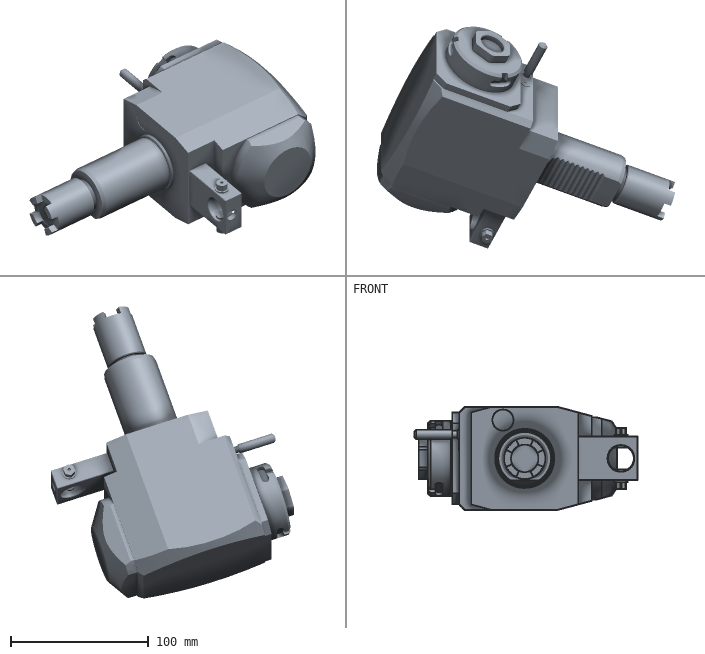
import cadquery as cq
import math


HEIGHT = 75.0
HALF_HEIGHT = HEIGHT / 2
BACK_Y = 103.0
SHOULDER_Y = 24.0
WIDE_LEFT_X = -47.5
WIDE_RIGHT_X = 48.8
NARROW_HALF_WIDTH = 38.9
RIDGE_X = 23.7
FLANK_SLOPE = math.tan(math.radians(15))
LEFT_CHAMFER = 4.2
BACK_RIGHT_CHAMFER = 3.5
CROWN_CENTER_X = -8.3
CROWN_RADIUS = 124.7
CROWN_SETBACK = 4.2
PLUG_X = -15.8
PLUG_Z = 27.9
PLUG_RADIUS = 7.7
PLUG_DEPTH = 0.2

HEX_SIDES = 6

SPINDLE_Y = 69.0

CAP_RADIUS = 37.8
CAP_FLANK_X = 51.5
CAP_RIM_X = 56.0
CAP_END_X = 67.1
CAP_END_RADIUS = 21.0
CAP_BACK_Y = 99.1

PLATE_X = -52.8
PLATE_HALF_HEIGHT = 33.5
PLATE_FRONT_Y = 36.0
PLATE_CHAMFER = 8.1
COLLAR_BACK_X = -53.8
COLLAR_FACE_X = -70.3
COLLAR_RADIUS = 27.5
COLLAR_NECK_RADIUS = 26.2
COLLAR_CHAMFER = 1.9
COLLAR_SLOT_COUNT = 3
COLLAR_SLOT_X = -62.1
COLLAR_SLOT_LENGTH = 18.7
COLLAR_SLOT_WIDTH = 5.6
COLLAR_SLOT_DEPTH = 4.5
COLLAR_NOTCH_WIDTH = 5.5
COLLAR_NOTCH_DEPTH = 3.3
HEX_FACE_X = -77.1
HEX_ACROSS_FLATS = 27.0
HEX_CORNER_RADIUS = 15.0
HEX_BORE_RADIUS = 9.1
HEX_BORE_DEPTH = 4.5
HEX_BORE_CHAMFER = 0.6

PIN_Y = 29.7
PIN_Z = 17.5
PIN_TIP_X = -80.2
PIN_DIAMETER = 6.9
PIN_RADIUS = PIN_DIAMETER / 2
PIN_CHAMFER = 1.5
PIN_NECK_X = -52.5
PIN_NECK_RADIUS = 2.5
PIN_FLARE_X = -49.0
PIN_BASE_RADIUS = 4.4
SCREW_Z = 10.2
SCREW_RADIUS = 4.4
SCREW_PROUD = 0.5
SCREW_HOLE_RADIUS = 0.8

FLANGE_DIAMETER = 43.0
FLANGE_RADIUS = FLANGE_DIAMETER / 2
FLANGE_LENGTH = 2.3
FLANGE_CHAMFER = 0.6
UNDERCUT_RADIUS = 19.5
UNDERCUT_LENGTH = 1.2
SHANK_RADIUS = 20.0
SHANK_END_Y = -63.2
SHANK_CHAMFER_LENGTH = 3.0
SHANK_END_RADIUS = 19.1
NECK_RADIUS = 12.0
DRIVE_START_Y = -67.0
DRIVE_RADIUS = 15.0
DRIVE_CHAMFER = 0.6
DRIVE_END_Y = -104.8
TOOTH_LENGTH = 5.2
TOOTH_BORE_RADIUS = 10.0
TOOTH_BORE_DEPTH = 5.6
TOOTH_GAP_HALF_ANGLE = 24.5
TOOTH_COUNT = 4
FLAT_Z = -16.0
FLAT_START_Y = -8.3
GROOVE_DEPTH = 1.2
GROOVE_PITCH = 4.0
GROOVE_COUNT = 10
FIRST_GROOVE_Y = -10.0

ARM_END_X = 82.0
ARM_FRONT_Y = 1.2
ARM_BACK_Y = 16.2
ARM_HALF_HEIGHT = 16.0
ARM_HOLE_X = 69.8
ARM_HOLE_RADIUS = 9.4
ARM_CHAMFER = 0.5
ARM_CROSS_HOLE_RADIUS = 4.4
ARM_SCREW_Y = 7.3
ARM_SCREW_TIP_Z = 7.7
ARM_SCREW_RADIUS = 4.2
WASHER_RADIUS = 5.0
WASHER_THICKNESS = 1.2
HEAD_ACROSS_FLATS = 7.7
HEAD_CORNER_RADIUS = 4.2
HEAD_TOP_Z = 22.2
HEAD_SOCKET_RADIUS = 1.2
HEAD_SOCKET_DEPTH = 2.0


def flank_z(x):
    """Height of the sloping right flank at x."""
    return HALF_HEIGHT - (x - RIDGE_X) * FLANK_SLOPE


def block(x_range, y_range, z_range):
    """Axis-aligned box from its limits."""
    (x0, x1), (y0, y1), (z0, z1) = x_range, y_range, z_range
    return cq.Workplane("XY").box(x1 - x0, y1 - y0, z1 - z0, centered=False).translate((x0, y0, z0))


def prism_y(upper_points, y0, y1):
    """Extrude along Y an XZ outline given by its upper half, mirrored about z = 0."""
    lower_points = [(x, -z) for x, z in reversed(upper_points)]
    return (
        cq.Workplane("XZ", origin=(0, y0, 0))
        .polyline(upper_points + lower_points)
        .close()
        .extrude(y0 - y1)
    )


def cylinder_x(radius, x0, x1, y, z):
    """Cylinder along X."""
    return cq.Workplane("YZ", origin=(x0, y, z)).circle(radius).extrude(x1 - x0)


def turned_x(profile, y, z):
    """Revolve (x, radius) points about the line parallel to X through (y, z)."""
    return (
        cq.Workplane("XY", origin=(0, y, z))
        .polyline(profile)
        .close()
        .revolve(360, (0, 0, 0), (1, 0, 0))
    )


def make_housing():
    narrow = prism_y(
        [
            (-NARROW_HALF_WIDTH, flank_z(NARROW_HALF_WIDTH)),
            (-RIDGE_X, HALF_HEIGHT),
            (RIDGE_X, HALF_HEIGHT),
            (NARROW_HALF_WIDTH, flank_z(NARROW_HALF_WIDTH)),
        ],
        0,
        SHOULDER_Y,
    )
    wide = prism_y(
        [
            (WIDE_LEFT_X, HALF_HEIGHT - LEFT_CHAMFER),
            (WIDE_LEFT_X + LEFT_CHAMFER, HALF_HEIGHT),
            (RIDGE_X, HALF_HEIGHT),
            (WIDE_RIGHT_X, flank_z(WIDE_RIGHT_X)),
        ],
        SHOULDER_Y,
        BACK_Y,
    )
    wide = wide.edges(cq.selectors.NearestToPointSelector((WIDE_RIGHT_X, BACK_Y, 0)))
    wide = wide.chamfer(BACK_RIGHT_CHAMFER)

    crown_center_y = BACK_Y - CROWN_SETBACK - CROWN_RADIUS
    crown = (
        cq.Workplane("XZ", origin=(CROWN_CENTER_X, crown_center_y, 0))
        .polyline(
            [
                (0, HALF_HEIGHT),
                (CROWN_RADIUS, HALF_HEIGHT),
                (CROWN_RADIUS + HALF_HEIGHT, 0),
                (CROWN_RADIUS, -HALF_HEIGHT),
                (0, -HALF_HEIGHT),
            ]
        )
        .close()
        .revolve(360, (0, 0, 0), (0, 1, 0))
    )
    plug_recess = cq.Workplane("XZ", origin=(PLUG_X, 0, PLUG_Z)).circle(PLUG_RADIUS).extrude(-PLUG_DEPTH)
    return narrow.union(wide.intersect(crown)).cut(plug_recess)


def make_cap():
    cap = turned_x(
        [
            (WIDE_RIGHT_X, 0),
            (WIDE_RIGHT_X, CAP_RADIUS),
            (CAP_RIM_X, CAP_RADIUS),
            (CAP_END_X, CAP_END_RADIUS),
            (CAP_END_X, 0),
        ],
        SPINDLE_Y,
        0,
    )
    envelope = prism_y(
        [
            (WIDE_RIGHT_X, flank_z(CAP_FLANK_X)),
            (CAP_FLANK_X, flank_z(CAP_FLANK_X)),
            (CAP_END_X, flank_z(CAP_END_X)),
        ],
        SHOULDER_Y,
        CAP_BACK_Y,
    )
    return cap.intersect(envelope)


def make_plate():
    plate = block(
        (PLATE_X, WIDE_LEFT_X),
        (PLATE_FRONT_Y, BACK_Y),
        (-PLATE_HALF_HEIGHT, PLATE_HALF_HEIGHT),
    )
    return plate.edges("|X").chamfer(PLATE_CHAMFER)


def make_collar():
    collar = turned_x(
        [
            (PLATE_X, 0),
            (PLATE_X, COLLAR_NECK_RADIUS),
            (COLLAR_BACK_X, COLLAR_NECK_RADIUS),
            (COLLAR_BACK_X, COLLAR_RADIUS),
            (COLLAR_FACE_X + COLLAR_CHAMFER, COLLAR_RADIUS),
            (COLLAR_FACE_X, COLLAR_RADIUS - COLLAR_CHAMFER),
            (COLLAR_FACE_X, 0),
        ],
        SPINDLE_Y,
        0,
    )
    slot = (
        cq.Workplane("XZ", origin=(COLLAR_SLOT_X, SPINDLE_Y + COLLAR_RADIUS - COLLAR_SLOT_DEPTH, 0))
        .slot2D(COLLAR_SLOT_LENGTH, COLLAR_SLOT_WIDTH, 90)
        .extrude(-COLLAR_SLOT_DEPTH)
    )
    notch = block(
        (COLLAR_FACE_X, COLLAR_SLOT_X - COLLAR_SLOT_WIDTH / 2),
        (SPINDLE_Y + COLLAR_RADIUS - COLLAR_NOTCH_DEPTH, SPINDLE_Y + COLLAR_RADIUS),
        (-COLLAR_NOTCH_WIDTH / 2, COLLAR_NOTCH_WIDTH / 2),
    )
    for index in range(COLLAR_SLOT_COUNT):
        angle = index * 360 / COLLAR_SLOT_COUNT
        for cutter in (slot, notch):
            collar = collar.cut(cutter.rotate((0, SPINDLE_Y, 0), (1, SPINDLE_Y, 0), angle))
    return collar


def make_hex():
    across_corners = HEX_ACROSS_FLATS / math.cos(math.pi / HEX_SIDES)
    length = COLLAR_FACE_X - HEX_FACE_X
    hexagon = (
        cq.Workplane("YZ", origin=(HEX_FACE_X, SPINDLE_Y, 0))
        .transformed(rotate=(0, 0, 90))
        .polygon(HEX_SIDES, across_corners)
        .extrude(length)
    )
    rounded = hexagon.intersect(cylinder_x(HEX_CORNER_RADIUS, HEX_FACE_X, COLLAR_FACE_X, SPINDLE_Y, 0))
    bore = turned_x(
        [
            (HEX_FACE_X, 0),
            (HEX_FACE_X, HEX_BORE_RADIUS + HEX_BORE_CHAMFER),
            (HEX_FACE_X + HEX_BORE_CHAMFER, HEX_BORE_RADIUS),
            (HEX_FACE_X + HEX_BORE_DEPTH, HEX_BORE_RADIUS),
            (HEX_FACE_X + HEX_BORE_DEPTH, 0),
        ],
        SPINDLE_Y,
        0,
    )
    return rounded.cut(bore)


def make_pin():
    return turned_x(
        [
            (PIN_TIP_X, 0),
            (PIN_TIP_X, PIN_RADIUS - PIN_CHAMFER),
            (PIN_TIP_X + PIN_CHAMFER, PIN_RADIUS),
            (PIN_NECK_X, PIN_RADIUS),
            (PIN_NECK_X, PIN_NECK_RADIUS),
            (PIN_FLARE_X, PIN_NECK_RADIUS),
            (WIDE_LEFT_X, PIN_BASE_RADIUS),
            (WIDE_LEFT_X, 0),
        ],
        PIN_Y,
        PIN_Z,
    )


def make_plug_screw():
    head_x = WIDE_LEFT_X - SCREW_PROUD
    disc = cylinder_x(SCREW_RADIUS, head_x, WIDE_LEFT_X, PIN_Y, SCREW_Z)
    return disc.cut(cylinder_x(SCREW_HOLE_RADIUS, head_x, WIDE_LEFT_X, PIN_Y, SCREW_Z))


def make_shank():
    profile = [
        (0, 0),
        (FLANGE_RADIUS, 0),
        (FLANGE_RADIUS, FLANGE_CHAMFER - FLANGE_LENGTH),
        (FLANGE_RADIUS - FLANGE_CHAMFER, -FLANGE_LENGTH),
        (UNDERCUT_RADIUS, -FLANGE_LENGTH),
        (UNDERCUT_RADIUS, -FLANGE_LENGTH - UNDERCUT_LENGTH),
        (SHANK_RADIUS, -FLANGE_LENGTH - UNDERCUT_LENGTH),
        (SHANK_RADIUS, SHANK_END_Y + SHANK_CHAMFER_LENGTH),
        (SHANK_END_RADIUS, SHANK_END_Y),
        (NECK_RADIUS, SHANK_END_Y),
        (NECK_RADIUS, DRIVE_START_Y),
        (DRIVE_RADIUS - DRIVE_CHAMFER, DRIVE_START_Y),
        (DRIVE_RADIUS, DRIVE_START_Y - DRIVE_CHAMFER),
        (DRIVE_RADIUS, DRIVE_END_Y),
        (0, DRIVE_END_Y),
    ]
    shank = cq.Workplane("XY").polyline(profile).close().revolve(360, (0, 0, 0), (0, 1, 0))
    return shank.cut(make_flat_cutter()).cut(make_tooth_cutter())


def make_flat_cutter():
    """Flat with a 45 degree run-out and V grooves, cut across the underside of the shank."""
    depth = SHANK_RADIUS + FLAT_Z
    points = [
        (FLAT_START_Y + depth, -SHANK_RADIUS),
        (FLAT_START_Y, FLAT_Z),
    ]
    for index in range(GROOVE_COUNT):
        groove_y = FIRST_GROOVE_Y - index * GROOVE_PITCH
        points += [
            (groove_y, FLAT_Z),
            (groove_y - GROOVE_PITCH / 2, FLAT_Z + GROOVE_DEPTH),
        ]
    points += [
        (FIRST_GROOVE_Y - GROOVE_COUNT * GROOVE_PITCH, FLAT_Z),
        (SHANK_END_Y, FLAT_Z),
        (SHANK_END_Y, -SHANK_RADIUS),
    ]
    return cq.Workplane("YZ").polyline(points).close().extrude(SHANK_RADIUS, both=True)


def make_tooth_cutter():
    """Central bore plus wedge gaps, reaching past the rim, that leave the driving teeth."""
    face = cq.Workplane("XZ", origin=(0, DRIVE_END_Y, 0))
    cutter = face.circle(TOOTH_BORE_RADIUS).extrude(-TOOTH_BORE_DEPTH)
    reach = 2 * DRIVE_RADIUS
    half_width = reach * math.tan(math.radians(TOOTH_GAP_HALF_ANGLE))
    wedge = face.polyline([(0, 0), (reach, -half_width), (reach, half_width)]).close().extrude(-TOOTH_LENGTH)
    for index in range(TOOTH_COUNT):
        cutter = cutter.union(wedge.rotate((0, 0, 0), (0, 1, 0), index * 360 / TOOTH_COUNT))
    return cutter


def make_arm_screw():
    """Upper clamping screw with washer, its tip reaching into the arm hole."""
    washer_top_z = ARM_HALF_HEIGHT + WASHER_THICKNESS
    head_height = HEAD_TOP_Z - washer_top_z
    across_corners = HEAD_ACROSS_FLATS / math.cos(math.pi / HEX_SIDES)

    tip = cq.Workplane("XY", origin=(0, 0, ARM_SCREW_TIP_Z)).circle(ARM_SCREW_RADIUS)
    tip = tip.extrude(ARM_HALF_HEIGHT - ARM_SCREW_TIP_Z)
    washer = cq.Workplane("XY", origin=(0, 0, ARM_HALF_HEIGHT)).circle(WASHER_RADIUS)
    washer = washer.extrude(WASHER_THICKNESS)

    head_base = cq.Workplane("XY", origin=(0, 0, washer_top_z))
    head = head_base.transformed(rotate=(0, 0, 90)).polygon(HEX_SIDES, across_corners).extrude(head_height)
    head = head.intersect(head_base.circle(HEAD_CORNER_RADIUS).extrude(head_height))
    head = head.faces(">Z").workplane(origin=(0, 0, 0)).hole(2 * HEAD_SOCKET_RADIUS, HEAD_SOCKET_DEPTH)
    return tip.union(washer).union(head).translate((ARM_HOLE_X, ARM_SCREW_Y, 0))


def make_arm():
    arm = block(
        (NARROW_HALF_WIDTH, ARM_END_X),
        (ARM_FRONT_Y, ARM_BACK_Y),
        (-ARM_HALF_HEIGHT, ARM_HALF_HEIGHT),
    )
    arm = arm.edges("|X or >X").chamfer(ARM_CHAMFER)
    hole = cq.Workplane("XZ", origin=(ARM_HOLE_X, 0, 0)).circle(ARM_HOLE_RADIUS).extrude(-ARM_BACK_Y)
    arm = arm.cut(hole).edges("%CIRCLE").chamfer(ARM_CHAMFER)
    cross_hole = cylinder_x(ARM_CROSS_HOLE_RADIUS, ARM_HOLE_X, ARM_END_X, ARM_SCREW_Y, 0)
    screw = make_arm_screw()
    return arm.cut(cross_hole).union(screw).union(screw.mirror("XY"))


result = make_housing()
for feature in (
    make_cap(),
    make_plate(),
    make_collar(),
    make_hex(),
    make_pin(),
    make_plug_screw(),
    make_shank(),
    make_arm(),
):
    result = result.union(feature)